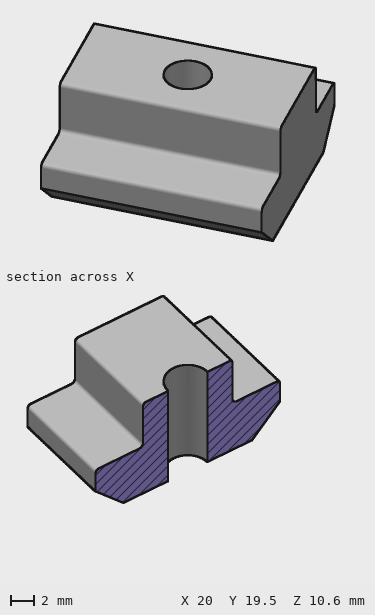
import cadquery as cq

length = 20.0
base_width = 19.5
height = 10.6

neck_width = 9.5
shoulder_height = 5.5
bottom_chamfer = 2.95
edge_radius = 0.4

hole_diameter = 4.15


def make_profile_bar():
    """Extrude the T-shaped profile, centred on X and Y, with its base at Z = 0."""
    half_base = base_width / 2
    half_neck = neck_width / 2
    half_bottom = half_base - bottom_chamfer
    outline = [
        (-half_bottom, 0),
        (half_bottom, 0),
        (half_base, bottom_chamfer),
        (half_base, shoulder_height),
        (half_neck, shoulder_height),
        (half_neck, height),
        (-half_neck, height),
        (-half_neck, shoulder_height),
        (-half_base, shoulder_height),
        (-half_base, bottom_chamfer),
    ]
    return cq.Workplane("YZ").polyline(outline).close().extrude(length / 2, both=True)


def round_long_edges(bar):
    """Round the top, neck root and shoulder edges; the lower corners stay sharp."""
    middle_of_side = (bottom_chamfer + shoulder_height) / 2
    upper_edges = cq.selectors.BoxSelector(
        (-length, -base_width, middle_of_side),
        (length, base_width, 2 * height),
    )
    return bar.edges("|X").edges(upper_edges).fillet(edge_radius)


def drill_centre_hole(bar):
    """Cut the vertical through hole in the middle of the neck."""
    hole = cq.Workplane("XY").circle(hole_diameter / 2).extrude(height)
    return bar.cut(hole)


result = drill_centre_hole(round_long_edges(make_profile_bar()))